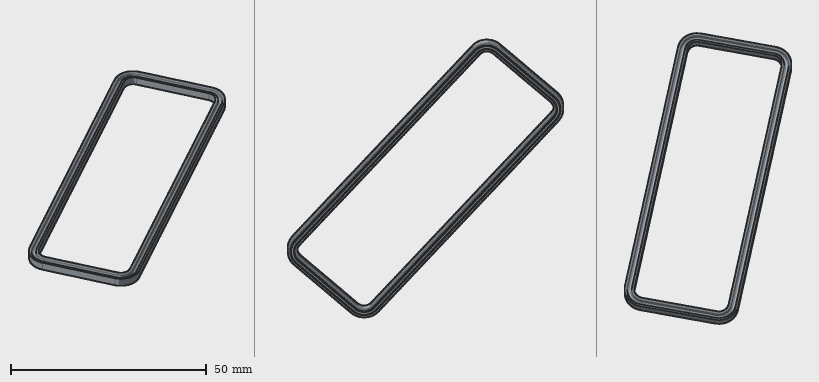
import cadquery as cq
import math

LENGTH_X = 29.5
LENGTH_Y = 79.0
HEIGHT = 2.7
RAIL_WIDTH = 2.5
CORNER_RADIUS = 5.0

LIP_WIDTH = 0.42
GROOVE_DEPTH = 1.3
GROOVE_DRAFT = math.radians(2.5)
GROOVE_MOUTH_RADIUS = 0.25
GROOVE_FLOOR_RADIUS = 0.25

TONGUE_HEIGHT = 0.25
TONGUE_WIDTH = 1.1
TONGUE_CHAMFER = 0.2
LOWER_EDGE_RADIUS = 0.2

HALF_X = LENGTH_X / 2
HALF_Y = LENGTH_Y / 2
HALF_RAIL = RAIL_WIDTH / 2
LOWER_ARC_MIDDLE = math.radians(225)


def on_arc(center, radius, angle):
    """Point of a circle at an angle measured from the profile's horizontal axis."""
    return (center[0] + radius * math.cos(angle), center[1] + radius * math.sin(angle))


def rail_profile():
    """Cross-section of the -X rail: its outer half, mirrored about the rail's centreline."""
    floor_z = HEIGHT - GROOVE_DEPTH
    arc_middle = (math.pi / 2 + GROOVE_DRAFT) / 2

    tongue_side = -TONGUE_WIDTH / 2
    lower_center = (-HALF_RAIL + LOWER_EDGE_RADIUS, TONGUE_HEIGHT + LOWER_EDGE_RADIUS)
    mouth_center = (-HALF_RAIL + LIP_WIDTH, HEIGHT - GROOVE_MOUTH_RADIUS)
    mouth_end = on_arc(mouth_center, GROOVE_MOUTH_RADIUS, GROOVE_DRAFT)

    floor_center_z = floor_z + GROOVE_FLOOR_RADIUS
    wall_end_z = floor_center_z - GROOVE_FLOOR_RADIUS * math.sin(GROOVE_DRAFT)
    wall_end_x = mouth_end[0] + (mouth_end[1] - wall_end_z) * math.tan(GROOVE_DRAFT)
    floor_center = (wall_end_x + GROOVE_FLOOR_RADIUS * math.cos(GROOVE_DRAFT), floor_center_z)

    return (
        cq.Workplane("XZ", origin=(-HALF_X + HALF_RAIL, 0, 0))
        .moveTo(0, 0)
        .lineTo(tongue_side + TONGUE_CHAMFER, 0)
        .lineTo(tongue_side, TONGUE_CHAMFER)
        .lineTo(tongue_side, TONGUE_HEIGHT)
        .lineTo(lower_center[0], TONGUE_HEIGHT)
        .threePointArc(
            on_arc(lower_center, LOWER_EDGE_RADIUS, LOWER_ARC_MIDDLE),
            (-HALF_RAIL, lower_center[1]),
        )
        .lineTo(-HALF_RAIL, HEIGHT)
        .lineTo(mouth_center[0], HEIGHT)
        .threePointArc(on_arc(mouth_center, GROOVE_MOUTH_RADIUS, arc_middle), mouth_end)
        .lineTo(wall_end_x, wall_end_z)
        .threePointArc(
            on_arc(floor_center, GROOVE_FLOOR_RADIUS, math.pi + arc_middle),
            (floor_center[0], floor_z),
        )
        .lineTo(0, floor_z)
        .mirrorY()
    )


def ring_path():
    """Rounded rectangle along the outer wall, starting halfway along the -X rail."""
    straight_x = HALF_X - CORNER_RADIUS
    straight_y = HALF_Y - CORNER_RADIUS
    return (
        cq.Workplane("XY")
        .moveTo(-HALF_X, 0)
        .lineTo(-HALF_X, straight_y)
        .radiusArc((-straight_x, HALF_Y), CORNER_RADIUS)
        .lineTo(straight_x, HALF_Y)
        .radiusArc((HALF_X, straight_y), CORNER_RADIUS)
        .lineTo(HALF_X, -straight_y)
        .radiusArc((straight_x, -HALF_Y), CORNER_RADIUS)
        .lineTo(-straight_x, -HALF_Y)
        .radiusArc((-HALF_X, -straight_y), CORNER_RADIUS)
        .close()
    )


result = rail_profile().sweep(ring_path()).clean()